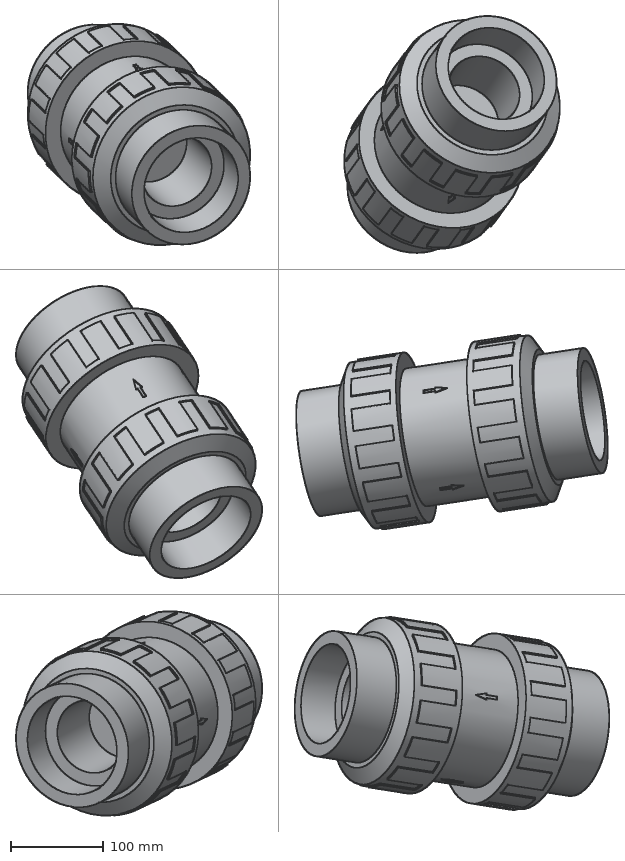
import cadquery as cq
import math


length = 315.0
body_radius = 76.0
sleeve_radius = 69.0

socket_radius = 54.8
socket_depth = 42.5
bore_radius = 40.3

nut_inner = 39.7
nut_outer = 108.5
nut_chamfer_length = 9.8
nut_chamfer_radius = 74.5
nut_radius = 91.7
grip_height = 2.0
grip_radius = nut_radius + grip_height

rib_start = 46.5
rib_end = 90.0
rib_count = 14
rib_pitch = 360 / rib_count
rib_angle = 0.6 * rib_pitch
gap_reach = 1.2 * grip_radius
grip_root_depth = 3.0

arrow_count = 4
arrow_half_length = 13.2
arrow_shaft_half_width = 1.73
arrow_head_half_width = 3.62
arrow_height = 1.0
arrow_root_depth = 3.0


def cylinder(radius, x_start, x_end):
    """Solid cylinder about the X axis between two X positions."""
    return cq.Workplane("YZ", origin=(x_start, 0, 0)).circle(radius).extrude(x_end - x_start)


def polar(radius, degrees):
    """Point in the YZ plane, with the angle measured from +Y toward +Z."""
    angle = math.radians(degrees)
    return (radius * math.cos(angle), radius * math.sin(angle))


def make_gap():
    """Wedge that clears the grip ring between two ribs; it starts where the first rib ends."""
    first = 90 + rib_angle
    last = 90 + rib_pitch
    return (
        cq.Workplane("YZ", origin=(-rib_end, 0, 0))
        .polyline([(0, 0), polar(gap_reach, first), polar(gap_reach, last)])
        .close()
        .extrude(rib_end - rib_start)
    )


def make_nut():
    """Union nut on the -X side: a chamfered base with a collar and radial-sided ribs around it."""
    base_profile = [
        (-nut_outer, 0),
        (-nut_outer, nut_chamfer_radius),
        (-nut_outer + nut_chamfer_length, nut_radius),
        (-nut_inner, nut_radius),
        (-nut_inner, 0),
    ]
    base = cq.Workplane("XY").polyline(base_profile).close().revolve(360, (0, 0, 0), (1, 0, 0))
    grip = cylinder(grip_radius, -rib_end, -nut_inner)
    grip = grip.cut(cylinder(nut_radius - grip_root_depth, -rib_end, -nut_inner))
    gap = make_gap()
    for index in range(rib_count):
        grip = grip.cut(gap.rotate((0, 0, 0), (1, 0, 0), index * rib_pitch))
    return base.union(grip)


def make_arrow():
    """Flow arrow on top of the body, pointing toward +X."""
    outline = [
        (-arrow_half_length, -arrow_shaft_half_width),
        (0, -arrow_shaft_half_width),
        (0, -arrow_head_half_width),
        (arrow_half_length, 0),
        (0, arrow_head_half_width),
        (0, arrow_shaft_half_width),
        (-arrow_half_length, arrow_shaft_half_width),
    ]
    return (
        cq.Workplane("XY", origin=(0, 0, body_radius - arrow_root_depth))
        .polyline(outline)
        .close()
        .extrude(arrow_root_depth + arrow_height)
    )


def make_end_bore():
    """Space inside the -X pipe end: a wide socket, then a narrower bore."""
    socket = cylinder(socket_radius, -length / 2, -length / 2 + socket_depth)
    bore = cylinder(bore_radius, -length / 2, -nut_inner)
    return socket.union(bore)


result = cylinder(sleeve_radius, -length / 2, length / 2)
result = result.union(cylinder(body_radius, -nut_inner, nut_inner))

arrow = make_arrow()
for index in range(arrow_count):
    result = result.union(arrow.rotate((0, 0, 0), (1, 0, 0), index * 360 / arrow_count))

nut = make_nut()
end_bore = make_end_bore()
for turn in (0, 180):
    result = result.union(nut.rotate((0, 0, 0), (0, 0, 1), turn))
    result = result.cut(end_bore.rotate((0, 0, 0), (0, 0, 1), turn))